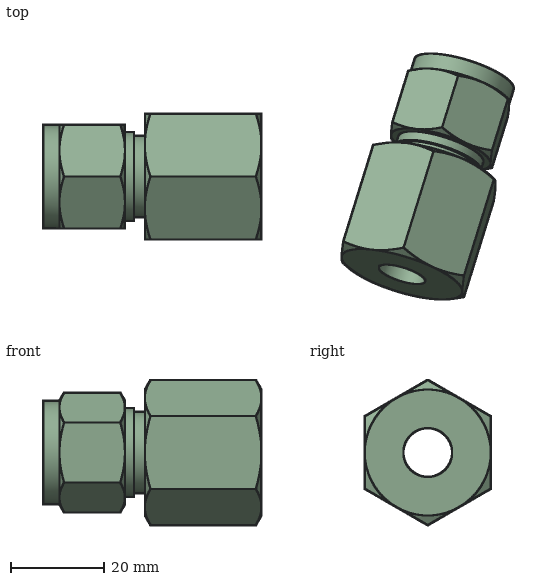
import cadquery as cq
import math


COLLAR_END = 3.5
NUT_END = 17.52
RING_END = 19.5
BODY_START = 21.78
TOTAL_LENGTH = 46.75

NUT_FLATS = 22.25
BODY_FLATS = 26.95
COLLAR_DIAMETER = NUT_FLATS
RING_DIAMETER = 19.05
NECK_DIAMETER = 17.52

SOCKET_DIAMETER = 12.7
SOCKET_DEPTH = BODY_START
BORE_DIAMETER = 10.37

CHAMFER_ANGLE = 30.0

HEXAGON_SIDES = 6


def cylinder(start, end, diameter):
    """Round bar along X between two stations."""
    return cq.Workplane("YZ", origin=(start, 0, 0)).circle(diameter / 2).extrude(end - start)


def chamfered_hexagon(start, end, flats):
    """Hexagonal bar along X, corners up and down, with both ends turned to a cone."""
    inner_radius = flats / 2
    corner_radius = inner_radius / math.cos(math.pi / HEXAGON_SIDES)
    chamfer_length = (corner_radius - inner_radius) * math.tan(math.radians(CHAMFER_ANGLE))
    prism = (
        cq.Workplane("YZ", origin=(start, 0, 0))
        .transformed(rotate=(0, 0, 90))
        .polygon(HEXAGON_SIDES, 2 * corner_radius)
        .extrude(end - start)
    )
    envelope = (
        cq.Workplane("XY")
        .moveTo(start, 0)
        .lineTo(start, inner_radius)
        .lineTo(start + chamfer_length, corner_radius)
        .lineTo(end - chamfer_length, corner_radius)
        .lineTo(end, inner_radius)
        .lineTo(end, 0)
        .close()
        .revolve(360, (0, 0, 0), (1, 0, 0))
    )
    return prism.intersect(envelope)


collar = cylinder(0, COLLAR_END, COLLAR_DIAMETER)
nut = chamfered_hexagon(COLLAR_END, NUT_END, NUT_FLATS)
ring = cylinder(NUT_END, RING_END, RING_DIAMETER)
neck = cylinder(RING_END, BODY_START, NECK_DIAMETER)
body = chamfered_hexagon(BODY_START, TOTAL_LENGTH, BODY_FLATS)
fitting = collar.union(nut).union(ring).union(neck).union(body)

socket = cylinder(0, SOCKET_DEPTH, SOCKET_DIAMETER)
bore = cylinder(0, TOTAL_LENGTH, BORE_DIAMETER)

result = fitting.cut(socket).cut(bore)